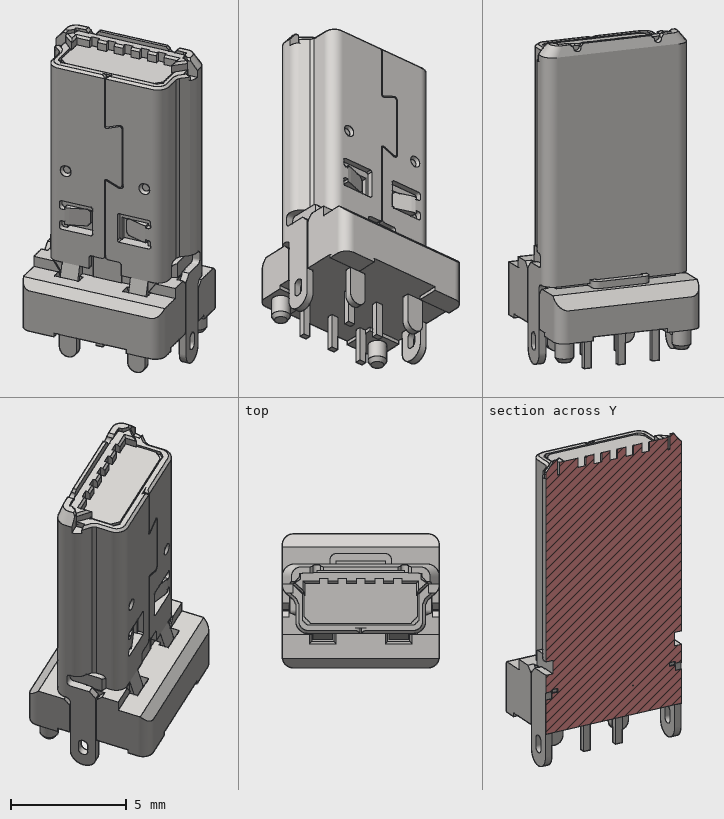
import cadquery as cq

EPS = 0.02
ROUND_MARGIN = 0.001

BASE_W = 6.8
BASE_HALF_D = 2.905
BASE_CORNER_R = 0.5
REAR_TOP = 2.06
FRONT_TOP = 2.38
STEP_TOP = 2.87
STEP_Y = -1.46
REAR_CHAMFER = 0.58
FRONT_CHAMFER_Y = 0.41
FRONT_CHAMFER_Z = 0.4
STANDOFF = 0.18
CHANNEL_HALF_W = 1.74
CHANNEL_Y = (-1.91, 1.41)

WIDE_X = BASE_W / 2
NARROW_X = 2.81
FRONT_Y = -1.415
REAR_Y = 1.6
CORNER_R = 0.55
CURL_TOP_Y = 0.74
CURL_X, CURL_Y = 3.25, 0.34
CURL_R = ((WIDE_X - CURL_X) ** 2 + (CURL_TOP_Y - CURL_Y) ** 2) / (2 * (WIDE_X - CURL_X))
BEND_X, BEND_Y = 2.885, 0.02
NECK_Y = -0.16
WALL = 0.27

SHELL_BOTTOM = 2.21
RIM_TOP = 12.43
RIM_CHAMFER = 0.1
RIM_BEVEL = 0.13
CURL_TOP = 12.16
EAR_BASE = 12.49
EAR_TOP = 12.97
COMB_TOP = 12.84
FLOOR_TOP = 12.4
GAP_DEPTH = 0.15
WING_X, WING_Y = 2.94, 0.72
PITCH = 0.8
CONTACT_PLACES = range(-2, 3)

LEG_Y = (-0.39, 0.81)
LEG_T = 0.33
LEG_TOP = 2.96
HOOK_Y = (-0.62, 0.97)
HOOK_TOP = 3.59
HOOK_X = 3.05
FOOT_X = 1.64
PIN_BOTTOM = -1.53
CONTACT_BOTTOM = -1.48


def block(x, y, z):
    """Box between pairs of limits along each axis."""
    size = (x[1] - x[0], y[1] - y[0], z[1] - z[0])
    return cq.Workplane("XY").box(*size, centered=False).translate((x[0], y[0], z[0]))


def both_sides(solid):
    return solid.union(solid.mirror("YZ"))


def side_prism(points, x):
    """Extrude a (y, z) outline between two X limits."""
    return cq.Workplane("YZ").workplane(offset=x[0]).polyline(points).close().extrude(x[1] - x[0])


def front_prism(points, y):
    """Extrude an (x, z) outline between two Y limits."""
    plane = cq.Workplane("XZ").workplane(offset=-y[1])
    return plane.polyline(points).close().extrude(y[1] - y[0])


def plan_prism(points, z):
    """Extrude an (x, y) outline between two Z limits."""
    return cq.Workplane("XY").workplane(offset=z[0]).polyline(points).close().extrude(z[1] - z[0])


def make_base():
    outline = [
        (BASE_HALF_D, 0),
        (BASE_HALF_D, REAR_TOP - REAR_CHAMFER),
        (BASE_HALF_D - REAR_CHAMFER, REAR_TOP),
        (LEG_Y[1], REAR_TOP),
        (LEG_Y[1], STEP_TOP),
        (STEP_Y, STEP_TOP),
        (STEP_Y, FRONT_TOP),
        (-BASE_HALF_D + FRONT_CHAMFER_Y, FRONT_TOP),
        (-BASE_HALF_D, FRONT_TOP - FRONT_CHAMFER_Z),
        (-BASE_HALF_D, 0),
    ]
    base = side_prism(outline, (-WIDE_X, WIDE_X))
    footprint = cq.Workplane("XY").rect(BASE_W, 2 * BASE_HALF_D).extrude(STEP_TOP)
    base = base.intersect(footprint.edges("|Z").fillet(BASE_CORNER_R))
    channel_z = (-EPS, STANDOFF)
    base = base.cut(block((-CHANNEL_HALF_W, CHANNEL_HALF_W), (-BASE_HALF_D, BASE_HALF_D), channel_z))
    base = base.cut(block((-WIDE_X, WIDE_X), CHANNEL_Y, channel_z))
    return base.cut(step_recess()).cut(both_sides(latch_pocket()))


def step_recess():
    """Recess in the front of the step: shallow with sloping ends, deeper between the feet."""
    half_bottom, half_top = 2.1, 2.45
    deep_half_w = 1.22
    points = [
        (-half_bottom, FRONT_TOP), (half_bottom, FRONT_TOP),
        (half_top, STEP_TOP), (-half_top, STEP_TOP),
    ]
    shallow = front_prism(points, (STEP_Y - EPS, FRONT_Y + EPS))
    return shallow.union(block((-deep_half_w, deep_half_w), (STEP_Y, FRONT_Y + WALL), (FRONT_TOP, STEP_TOP)))


def insulator_tongue():
    """Insulator face showing through the notch at the foot of the front wall."""
    half_w, top, proud = 0.69, 3.6, 0.04
    return block((-half_w, half_w), (FRONT_Y + WALL - proud, 0), (FRONT_TOP - EPS, top))


def latch_pocket():
    """Tapered pocket in the front ledge around one front foot."""
    width, depth_y, depth_z, taper = 1.16, 0.44, 0.4, 15
    mouth = cq.Workplane("XY").workplane(offset=FRONT_TOP).center(FOOT_X, FRONT_Y)
    return mouth.rect(width, 2 * depth_y).extrude(-depth_z, taper=taper)


def rear_clip():
    """Low rounded rib behind the shell, with a slit along the shell wall."""
    half_w, rear_y, corner = 1.33, 2.05, 0.28
    slit_half_w, slit_y = 1.07, 1.72
    rib = block((-half_w, half_w), (REAR_Y - WALL, rear_y), (REAR_TOP - EPS, FRONT_TOP))
    rib = rib.edges("|Z and >Y").fillet(corner)
    return rib.cut(block((-slit_half_w, slit_half_w), (REAR_Y, slit_y), (REAR_TOP, FRONT_TOP + EPS)))


def shell_outline(z):
    """Closed shell outline: a wide rear part necked down to a narrow front part."""
    nose = FRONT_Y + CORNER_R
    back = REAR_Y - CORNER_R
    return (
        cq.Workplane("XY").workplane(offset=z)
        .moveTo(NARROW_X - CORNER_R, FRONT_Y)
        .radiusArc((NARROW_X, nose), -CORNER_R)
        .lineTo(NARROW_X, NECK_Y)
        .lineTo(BEND_X, BEND_Y)
        .lineTo(CURL_X, CURL_Y)
        .radiusArc((WIDE_X, CURL_TOP_Y), -CURL_R)
        .lineTo(WIDE_X, back)
        .radiusArc((WIDE_X - CORNER_R, REAR_Y), -CORNER_R)
        .lineTo(-WIDE_X + CORNER_R, REAR_Y)
        .radiusArc((-WIDE_X, back), -CORNER_R)
        .lineTo(-WIDE_X, CURL_TOP_Y)
        .radiusArc((-CURL_X, CURL_Y), -CURL_R)
        .lineTo(-BEND_X, BEND_Y)
        .lineTo(-NARROW_X, NECK_Y)
        .lineTo(-NARROW_X, nose)
        .radiusArc((-NARROW_X + CORNER_R, FRONT_Y), -CORNER_R)
        .close()
    )


def make_body():
    body = shell_outline(SHELL_BOTTOM).extrude(RIM_TOP - SHELL_BOTTOM)
    rim = cq.selectors.BoxSelector((-CURL_X, FRONT_Y - EPS, RIM_TOP - EPS), (CURL_X, CURL_Y, RIM_TOP + EPS))
    body = body.edges(rim).chamfer(RIM_CHAMFER, RIM_BEVEL)
    rear = block((-WIDE_X, WIDE_X), (CURL_TOP_Y, REAR_Y), (CURL_TOP, EAR_BASE))
    body = body.union(rear.edges("|Z and >Y").fillet(CORNER_R))
    curl_notch = block((WING_X, WIDE_X + EPS), (CURL_Y, CURL_TOP_Y), (CURL_TOP, EAR_BASE + EPS))
    body = body.cut(both_sides(curl_notch))
    core = block((-NARROW_X, NARROW_X), (FRONT_Y + WALL, REAR_Y - WALL), (REAR_TOP - EPS, SHELL_BOTTOM + EPS))
    return body.union(core)


def make_ears():
    """Bevelled rear wall crowning the shell: two corner ears and a centre tab."""
    bevel_x, bevel_y = 0.4, 0.13
    ear_inner_x, ear_inner_y = 2.65, 1.19
    tab_front_y = 1.32
    notch_x, notch_r, notch_bottom = 1.9, 0.17, 12.65
    flare_w, flare_h = 0.12, 0.13
    lip_chamfer = 0.1

    def ring(half_w, rear, radius, z):
        plan = cq.Workplane("XY").workplane(offset=z).moveTo(half_w, CURL_TOP_Y)
        plan = plan.lineTo(half_w, rear - radius).radiusArc((half_w - radius, rear), -radius)
        plan = plan.lineTo(-half_w + radius, rear).radiusArc((-half_w, rear - radius), -radius)
        return plan.lineTo(-half_w, CURL_TOP_Y).close().wires().val()

    lower = ring(WIDE_X, REAR_Y, CORNER_R, EAR_BASE)
    upper = ring(WIDE_X - bevel_x, REAR_Y - bevel_y, CORNER_R - bevel_y, EAR_TOP)
    ears = cq.Workplane(cq.Solid.makeLoft([lower, upper], True))
    ears = ears.cut(both_sides(side_prism(
        [(CURL_TOP_Y, EAR_TOP - lip_chamfer), (CURL_TOP_Y + lip_chamfer, EAR_TOP), (CURL_TOP_Y, EAR_TOP)],
        (0, WIDE_X),
    )))
    opening_z = (FLOOR_TOP, EAR_TOP + EPS)
    ears = ears.cut(block((-ear_inner_x, ear_inner_x), (0, ear_inner_y), opening_z))
    ears = ears.cut(block((-notch_x, notch_x), (0, tab_front_y), opening_z))
    notch = (
        cq.Workplane("XZ", origin=(notch_x, REAR_Y + EPS, 0))
        .moveTo(-notch_r, notch_bottom + notch_r)
        .threePointArc((0, notch_bottom), (notch_r, notch_bottom + notch_r))
        .lineTo(notch_r, EAR_TOP - flare_h)
        .lineTo(notch_r + flare_w, EAR_TOP)
        .lineTo(-notch_r - flare_w, EAR_TOP)
        .lineTo(-notch_r, EAR_TOP - flare_h)
        .close()
        .extrude(REAR_Y - ear_inner_y + 2 * EPS)
    )
    return ears, both_sides(notch)


def mouth_cavity():
    """Shallow mouth inside the rim around the insulator face."""
    inner_x, rear_y = 2.51, 1.2
    diagonal_y = WING_Y - (WING_X - inner_x)
    front_y = FRONT_Y + WALL + RIM_CHAMFER
    corner = 0.2
    right = [(inner_x - corner, front_y), (inner_x, front_y + corner), (inner_x, diagonal_y)]
    right += [(WING_X, WING_Y), (inner_x, rear_y)]
    left = [(-x, y) for x, y in reversed(right)]
    cavity = plan_prism(right + left, (FLOOR_TOP - GAP_DEPTH, EAR_TOP))
    floor_gap, floor_corner = 0.06, 0.3
    floor_x, floor_y = inner_x - floor_gap, front_y + floor_gap
    floor = block((-floor_x, floor_x), (floor_y, rear_y), (FLOOR_TOP - 2 * GAP_DEPTH, FLOOR_TOP))
    return cavity.cut(floor.edges("|Z and <Y").chamfer(floor_corner))


def insulator_comb():
    """U-shaped insulator end with a slot for each of the five contacts."""
    rear_y, front_y, inner_x = 1.23, 0.76, 2.40
    tip_y = 0.24
    shoulder_x, shoulder_y = 2.6, 0.95
    chamfer = 0.1
    slot_w, slot_y = 0.37, 0.96
    right = [(inner_x, front_y), (inner_x, tip_y), (WING_X, WING_Y)]
    right += [(shoulder_x, shoulder_y), (shoulder_x, rear_y)]
    left = [(-x, y) for x, y in reversed(right)]
    comb = plan_prism(right + left, (FLOOR_TOP - 2 * GAP_DEPTH, COMB_TOP))
    front_edge = cq.selectors.BoxSelector(
        (-WING_X - EPS, tip_y - EPS, COMB_TOP - EPS), (WING_X + EPS, front_y + EPS, COMB_TOP + EPS)
    )
    comb = comb.edges(front_edge).chamfer(chamfer)
    for place in CONTACT_PLACES:
        x = place * PITCH
        comb = comb.cut(block((x - slot_w / 2, x + slot_w / 2), (0, slot_y), (FLOOR_TOP, EAR_TOP)))
    return comb


def seam():
    """Narrow dovetailed joint down the front wall, flared at both ends."""
    width = 0.06
    hook_x, hook_bottom, hook_top = 0.84, 7.13, 10.2
    rise, bend_r = 0.33, 0.1
    back_x = -1.5
    relief_half_w, relief_top, relief_r = 0.77, 3.5, 0.12
    flare_r, mouth_r = 0.17, 0.22
    edge = [
        (back_x, STEP_TOP), (0, STEP_TOP), (0, hook_bottom + rise), (hook_x, hook_bottom),
        (hook_x, hook_top), (0, hook_top - rise), (0, RIM_TOP), (back_x, RIM_TOP),
    ]
    y = (FRONT_Y - EPS, FRONT_Y + WALL)
    flap = front_prism(edge, y)
    bends = cq.selectors.BoxSelector(
        (-EPS, y[0], hook_bottom - EPS), (hook_x + EPS, y[1], hook_top + EPS)
    )
    flap = flap.edges("|Y").edges(bends).fillet(bend_r)
    grown = flap.faces("<Y").wires().toPending().offset2D(width).extrude(-WALL)
    strip = block((-width, hook_x + 2 * width), y, (STEP_TOP, RIM_TOP))
    groove = grown.cut(flap).intersect(strip).translate((-width / 2, 0, 0))
    relief = block((-relief_half_w, relief_half_w), y, (STEP_TOP, relief_top))
    relief = relief.edges("|Y and >Z").fillet(relief_r)
    lower_flare = seam_flare(relief_top, flare_r, 1)
    mouth = seam_flare(RIM_TOP, mouth_r, -1)
    return groove.union(relief).union(lower_flare).union(mouth)


def seam_flare(z, radius, direction):
    """Rounded-over end of the seam: two quarter rounds meeting in a point."""
    tip_z = z + direction * radius
    plane = cq.Workplane("XZ", origin=(0, FRONT_Y - EPS, 0)).moveTo(-radius, z)
    plane = plane.radiusArc((0, tip_z), -direction * radius)
    return plane.radiusArc((radius, z), -direction * radius).close().extrude(-WALL)


def shell_dimple():
    """Conical-edged dimple above a spring window."""
    x, z, outer_r, inner_r, depth = 1.89, 7.37, 0.26, 0.17, 0.15
    floor = cq.Workplane("XZ", origin=(x, FRONT_Y, z)).circle(inner_r).extrude(-depth)
    return floor.faces("<Y").workplane().circle(outer_r).workplane(offset=-depth).circle(inner_r).loft()


def spring_window():
    """C-shaped window in the front wall, right side, around a spring tongue bent inward."""
    inner_x, outer_x = 0.59, 2.19
    bottom, top = 4.48, 5.88
    slot_h, depth = 0.41, 0.5
    tongue_root, tongue_bend, tongue_tip = 1.93, 1.73, 0.86
    bend_drop, tip_drop = 0.05, 0.35
    tongue_z = (4.75, 5.57)
    tip_corner, arm_r = 0.13, 0.12
    pocket_x, window_corner = 0.68, 0.07
    wall_y = (FRONT_Y - EPS, FRONT_Y + WALL)
    window = block((inner_x, tongue_root), wall_y, (bottom, top))
    window = window.edges("|Y and <X").chamfer(window_corner)
    for low in (bottom, top - slot_h):
        arm = block((tongue_root - EPS, outer_x), wall_y, (low, low + slot_h))
        window = window.union(arm.edges("|Y and >X").fillet(arm_r))
    pocket = block((pocket_x, tongue_root), (FRONT_Y, FRONT_Y + depth), (bottom, tongue_z[1]))
    window = window.union(pocket)
    profile = [
        (tongue_root + EPS, FRONT_Y), (tongue_root, FRONT_Y),
        (tongue_bend, FRONT_Y + bend_drop), (tongue_tip, FRONT_Y + tip_drop),
        (tongue_tip, FRONT_Y + depth + EPS), (tongue_root + EPS, FRONT_Y + depth + EPS),
    ]
    tongue = plan_prism(profile, tongue_z).edges("|Y and <X").chamfer(tip_corner)
    return window.cut(tongue)


def side_window():
    """Opening in the right shell flank above the leg; its inner wall stays."""
    corner = 0.17
    opening = block((HOOK_X, WIDE_X + EPS), HOOK_Y, (LEG_TOP, HOOK_TOP))
    return opening.edges("|X and >Y").fillet(corner)


def hook_wall():
    """Wall set back behind the side window that ties the leg to the shell, with a bevelled front edge."""
    bevel_y, corner = 0.1, 0.22
    front = HOOK_Y[0]
    height = (STEP_TOP - EPS, HOOK_TOP)
    wall = block((NARROW_X - WALL, HOOK_X), HOOK_Y, height)
    wall = wall.edges("|X and >Z and <Y").fillet(corner)
    bevel = [(HOOK_X, front), (HOOK_X, front + bevel_y), (NARROW_X, front)]
    return wall.cut(plan_prism(bevel, height))


def side_leg():
    """Slotted, round-ended board leg flush with the right side of the base."""
    corner, shoulder_r = 0.3, 0.22
    slot_w, slot_top, slot_bottom = 0.44, -0.09, -0.9
    leg = block((WIDE_X - LEG_T, WIDE_X), LEG_Y, (PIN_BOTTOM, LEG_TOP))
    leg = leg.edges("|X and >Z and <Y").chamfer(corner)
    leg = leg.edges("|X and <Z").fillet((LEG_Y[1] - LEG_Y[0]) / 2 - ROUND_MARGIN)
    shoulder = (
        cq.Workplane("YZ", origin=(WIDE_X - LEG_T, 0, 0))
        .moveTo(LEG_Y[1] - EPS, SHELL_BOTTOM + EPS)
        .lineTo(LEG_Y[1] - EPS, SHELL_BOTTOM - shoulder_r)
        .lineTo(LEG_Y[1], SHELL_BOTTOM - shoulder_r)
        .radiusArc((LEG_Y[1] + shoulder_r, SHELL_BOTTOM), shoulder_r)
        .lineTo(LEG_Y[1] + shoulder_r, SHELL_BOTTOM + EPS)
        .close()
        .extrude(LEG_T)
    )
    leg = leg.union(shoulder)
    center_y = sum(LEG_Y) / 2
    slot = cq.Workplane("YZ", origin=(0, center_y, (slot_top + slot_bottom) / 2))
    return leg.cut(slot.slot2D(slot_top - slot_bottom, slot_w, 90).extrude(BASE_W))


def leg_groove():
    """Clearance in the base beside the right leg."""
    gap, depth = 0.04, 0.3
    x = (WIDE_X - depth, WIDE_X + EPS)
    front = block(x, (LEG_Y[0] - gap, LEG_Y[0]), (0, STEP_TOP + EPS))
    rear = block(x, (LEG_Y[1], LEG_Y[1] + gap), (0, REAR_TOP + EPS))
    relief = 0.3
    corner = side_prism(
        [(LEG_Y[1], REAR_TOP), (LEG_Y[1] + relief, REAR_TOP), (LEG_Y[1], REAR_TOP - relief)], x
    )
    valley_y, valley_z = LEG_Y[0], 2.57
    rise = STEP_TOP + EPS - valley_z
    valley = side_prism(
        [(valley_y, valley_z), (valley_y + rise, valley_z + rise), (valley_y - rise, valley_z + rise)], x
    )
    return front.union(rear).union(corner).union(valley)


def front_foot():
    """Wide foot continuing the front shell wall: sloped at the top, rounded at the board end."""
    width = 0.84
    outer_y, inner_y = -1.70, -1.39
    slope_end = 1.9
    x = (FOOT_X - width / 2, FOOT_X + width / 2)
    root_y = inner_y + WALL
    bend = side_prism(
        [
            (FRONT_Y, STEP_TOP), (outer_y, slope_end), (outer_y, STANDOFF),
            (root_y, STANDOFF), (root_y, STEP_TOP),
        ],
        x,
    )
    pin = block(x, (outer_y, inner_y), (PIN_BOTTOM, slope_end))
    return bend.union(pin.edges("|Y and <Z").fillet(width / 2 - ROUND_MARGIN))


def contact_tails():
    """Five contact tails in two staggered rows."""
    width, depth, rear_row, front_row = 0.34, 0.26, 1.84, -0.19
    tails = cq.Workplane("XY")
    for place in CONTACT_PLACES:
        y = front_row if place % 2 else rear_row
        x = place * PITCH
        tails = tails.union(block(
            (x - width / 2, x + width / 2), (y - depth / 2, y + depth / 2), (CONTACT_BOTTOM, STANDOFF + EPS)
        ))
    return tails


def locating_peg():
    x, y, radius, length = 2.76, 2.09, 0.41, 1.0
    tip_z, tip_r = 0.2, 0.13
    peg = cq.Workplane("XY").center(x, y).circle(radius).extrude(-length)
    return peg.faces("<Z").chamfer(tip_z, tip_r)


base = make_base().cut(both_sides(leg_groove())).union(rear_clip())

ears, ear_notches = make_ears()
body = make_body().union(ears).cut(mouth_cavity()).cut(ear_notches)
body = body.union(insulator_comb())
body = body.cut(step_recess()).cut(seam())
body = body.cut(both_sides(shell_dimple()))
body = body.cut(both_sides(spring_window()))
body = body.cut(both_sides(side_window()))

result = base.union(body)
for feature in (hook_wall(), side_leg(), front_foot(), locating_peg()):
    result = result.union(both_sides(feature))
result = result.union(insulator_tongue()).union(contact_tails())